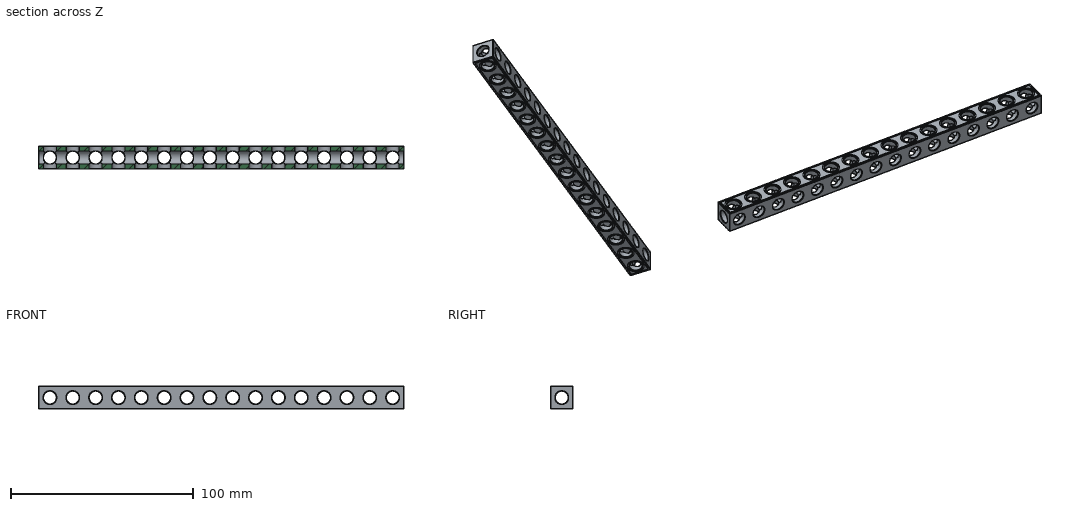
import cadquery as cq

length = 200.0
hole_count = 16
pitch = length / hole_count
side = pitch
edge_chamfer = 0.3

hole_diameter = 7.0
mouth_chamfer = 0.3

pocket_depth = 0.2
pocket_wall = 1.1
ring_diameter = 9.2

hole_stations = [(i - (hole_count - 1) / 2) * pitch for i in range(hole_count)]


def chamfered_hole(depth):
    """Cutter along Z, centred on the origin, that widens at both mouths."""
    radius = hole_diameter / 2
    mouth_radius = radius + mouth_chamfer
    end = depth / 2
    neck = end - mouth_chamfer
    half_section = [
        (0, -end),
        (mouth_radius, -end),
        (radius, -neck),
        (radius, neck),
        (mouth_radius, end),
        (0, end),
    ]
    return cq.Workplane("XZ").polyline(half_section).close().revolve(360, (0, 0), (0, 1))


def top_pocket():
    """Cutter for the top face: a rectangle that spares the rings around the holes."""
    floor = cq.Workplane("XY").workplane(offset=side / 2 - pocket_depth)
    recess = floor.rect(length - 2 * pocket_wall, side - 2 * pocket_wall).extrude(pocket_depth)
    ring_centres = [(x, 0) for x in hole_stations]
    rings = floor.pushPoints(ring_centres).circle(ring_diameter / 2).extrude(pocket_depth)
    return recess.cut(rings)


beam = cq.Workplane("XY").box(length, side, side).edges().chamfer(edge_chamfer)

pocket = top_pocket()
beam = beam.cut(pocket).cut(pocket.mirror("XY"))

vertical_hole = chamfered_hole(side)
crosswise_hole = vertical_hole.rotate((0, 0, 0), (1, 0, 0), 90)
for x in hole_stations:
    beam = beam.cut(vertical_hole.translate((x, 0, 0)))
    beam = beam.cut(crosswise_hole.translate((x, 0, 0)))

lengthwise_bore = chamfered_hole(length).rotate((0, 0, 0), (0, 1, 0), 90)
result = beam.cut(lengthwise_bore)